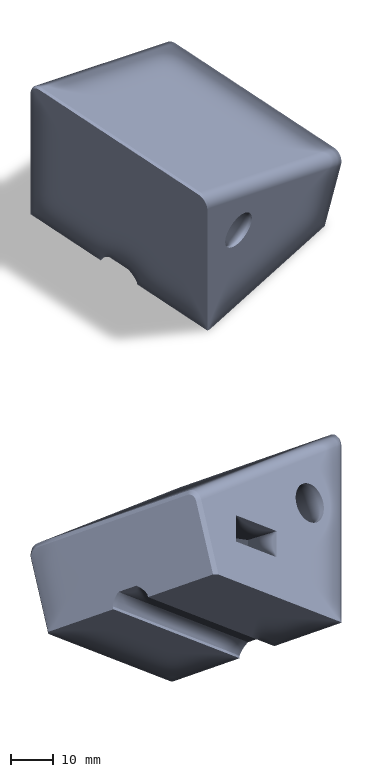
import cadquery as cq
import math

width = 55.0
depth = 49.5
front_y = -depth / 2
slope_angle = 30.0
rear_lean = 18.9
shoulder_height = 48.0
rear_foot_y = 18.3
corner_radius = 3.0

front_bevel_depth = 0.65
front_bevel_inset = 0.2
shoulder_y = front_y + front_bevel_depth
rear_bevel = 0.9

hole_diameter = 9.6
hole_y = front_y + 11.0
hole_z = 27.0

pocket_length = 13.85
pocket_height = 6.6
pocket_y = front_y + 29.2
pocket_z = 13.35
pocket_depth = 8.8
pocket_taper = 0.55
pocket_tip = 3.15

notch_width = 11.2
notch_height = 3.3
notch_side = 0.65
notch_flat = 5.7
notch_bulge = (4.4, 2.2)

slope = math.tan(math.radians(slope_angle))
lean = math.tan(math.radians(rear_lean))


def draw_end_outline(plane, inset):
    """Upright section near the front; the slope stretches its corners into ellipses."""
    half_width = width / 2 - inset
    top = shoulder_height - inset
    corner_width = corner_radius - inset
    corner_height = corner_radius / math.cos(math.radians(slope_angle)) - inset
    return (
        plane.moveTo(-half_width, 0)
        .lineTo(half_width, 0)
        .lineTo(half_width, top - corner_height)
        .ellipseArc(corner_width, corner_height, 0, 90, sense=1)
        .lineTo(-half_width + corner_width, top)
        .ellipseArc(corner_width, corner_height, 90, 180, sense=1)
        .close()
    )


def make_front_cap():
    plane = cq.Workplane("XZ", origin=(0, shoulder_y, 0))
    shoulder = draw_end_outline(plane, 0)
    face_plane = shoulder.workplane(offset=front_bevel_depth)
    return draw_end_outline(face_plane, front_bevel_inset).loft(ruled=True)


def make_body():
    foot_run = rear_foot_y - shoulder_y
    rear_z = (shoulder_height - slope * foot_run) / (1 + slope * lean)
    rear_y = rear_foot_y + lean * rear_z
    body = (
        cq.Workplane("YZ", origin=(-width / 2, 0, 0))
        .moveTo(shoulder_y, 0)
        .lineTo(rear_foot_y, 0)
        .lineTo(rear_y, rear_z)
        .lineTo(shoulder_y, shoulder_height)
        .close()
        .extrude(width)
    )
    body = body.faces(">Z").edges("<X or >X").fillet(corner_radius)
    body = body.faces(">Y").edges("not <Z").chamfer(rear_bevel)
    return body.union(make_front_cap())


def make_hole():
    return (
        cq.Workplane("YZ", origin=(-width / 2, hole_y, hole_z))
        .circle(hole_diameter / 2)
        .extrude(width)
    )


def make_pocket():
    half_length = pocket_length / 2
    inner_half = half_length - pocket_taper
    return (
        cq.Workplane("XY", origin=(-width / 2, pocket_y, pocket_z - pocket_height / 2))
        .moveTo(0, -half_length)
        .lineTo(pocket_depth, -inner_half)
        .lineTo(pocket_depth + pocket_tip, 0)
        .lineTo(pocket_depth, inner_half)
        .lineTo(0, half_length)
        .close()
        .extrude(pocket_height)
    )


def make_notch():
    half_width = notch_width / 2
    half_flat = notch_flat / 2
    bulge_x, bulge_z = notch_bulge
    return (
        cq.Workplane("XZ")
        .moveTo(-half_width, 0)
        .lineTo(-half_width, notch_side)
        .threePointArc((-bulge_x, bulge_z), (-half_flat, notch_height))
        .lineTo(half_flat, notch_height)
        .threePointArc((bulge_x, bulge_z), (half_width, notch_side))
        .lineTo(half_width, 0)
        .close()
        .extrude(depth, both=True)
    )


result = make_body().cut(make_hole()).cut(make_pocket()).cut(make_notch())